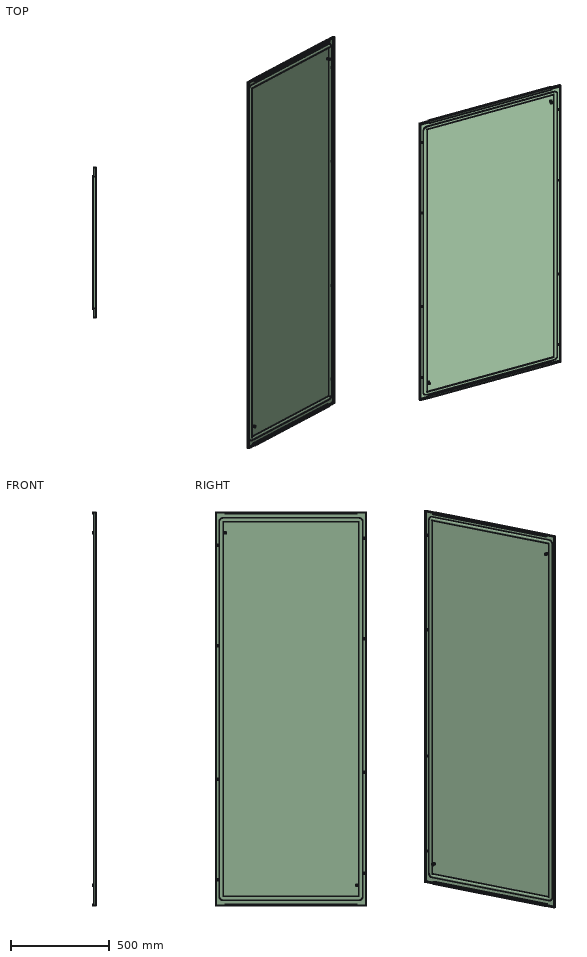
import cadquery as cq

depth = 16.5
width = 765.0
height = 1996.0

sheet_thickness = 2.0
tray_depth = 12.4
bend_radius = 5.0
flange_thickness = 8.0
flange_length = 667.0

bead_width = 20.0
bead_height = 8.0
bead_side_margin = 18.0
bead_end_margin = 28.0

hole_diameter = 8.0
hole_edge_distance = 10.0
hole_heights = (-832.0, -321.0, 357.0, 866.0)

peg_diameter = 10.0
peg_side_offset = 333.0
peg_height_offset = 895.0

back_x = depth / 2
floor_x = back_x - sheet_thickness
rim_x = back_x - tray_depth
front_x = -depth / 2


def make_tray():
    """Shallow tray: a sheet on the +X side with a thin wall folded up on all four edges."""
    center_x = (rim_x + back_x) / 2
    return (
        cq.Workplane("XY")
        .box(tray_depth, width, height)
        .translate((center_x, 0, 0))
        .faces(">X")
        .edges()
        .fillet(bend_radius)
        .faces("<X")
        .workplane()
        .rect(width - 2 * sheet_thickness, height - 2 * sheet_thickness)
        .cutBlind(-(tray_depth - sheet_thickness))
    )


def make_flange(side):
    """Taller lip on the top (side=1) or bottom (side=-1) wall, short of the corners."""
    lip_depth = floor_x - front_x
    center = ((front_x + floor_x) / 2, 0, side * (height - flange_thickness) / 2)
    return cq.Workplane("XY").box(lip_depth, flange_length, flange_thickness).translate(center)


def make_bead():
    """Low rounded bead swept round the field, with quarter-turn corners."""
    inner_y = width / 2 - bead_side_margin - bead_width
    inner_z = height / 2 - bead_end_margin - bead_width

    def section(plane_name):
        embed = sheet_thickness / 2
        return (
            cq.Workplane(plane_name)
            .moveTo(floor_x + embed, 0)
            .lineTo(floor_x, 0)
            .threePointArc((floor_x - bead_height, bead_width / 2), (floor_x, bead_width))
            .lineTo(floor_x + embed, bead_width)
            .close()
        )

    side_rail = section("XY").extrude(inner_z, both=True).translate((0, inner_y, 0))
    end_rail = section("XZ").extrude(inner_y, both=True).translate((0, 0, inner_z))
    corner = section("XY").revolve(90, (0, 0, 0), (1, 0, 0)).translate((0, inner_y, inner_z))
    bead = side_rail.union(side_rail.mirror("XZ"))
    bead = bead.union(end_rail).union(end_rail.mirror("XY"))
    corner_pair = corner.union(corner.mirror("XZ"))
    return bead.union(corner_pair).union(corner_pair.mirror("XY"))


def make_peg(side):
    """Round peg standing on the field; the two pegs are half a turn apart."""
    return (
        cq.Workplane("YZ", origin=(floor_x, 0, 0))
        .center(-side * peg_side_offset, side * peg_height_offset)
        .circle(peg_diameter / 2)
        .extrude(front_x - floor_x)
    )


def make_rim_holes():
    """Through holes along both side rims; the -Y row is the +Y row turned half a turn."""
    hole_y = width / 2 - hole_edge_distance
    points = [(side * hole_y, side * z) for side in (1, -1) for z in hole_heights]
    return (
        cq.Workplane("YZ", origin=(front_x, 0, 0))
        .pushPoints(points)
        .circle(hole_diameter / 2)
        .extrude(depth)
    )


result = make_tray().union(make_bead())
for end in (1, -1):
    result = result.union(make_flange(end)).union(make_peg(end))
result = result.cut(make_rim_holes())